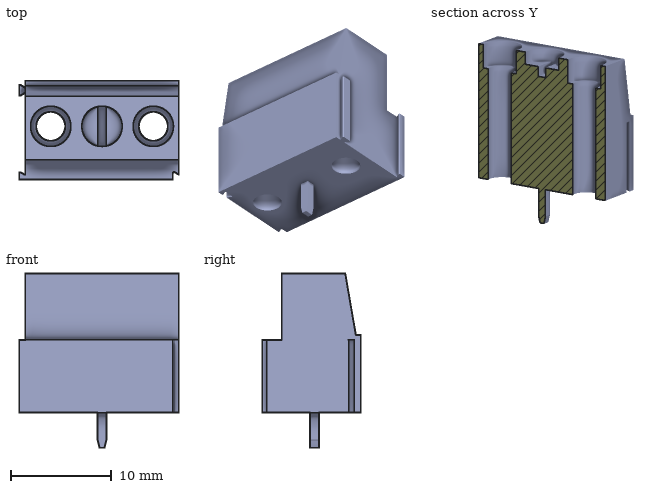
import math

import cadquery as cq

pitch = 5.08
positions = 3
body_length = pitch * positions
body_depth = 9.8
body_height = 13.8
front_step_depth = 1.95
front_step_height = 7.2
back_step_depth = 0.5
back_step_height = 7.7
top_back_inset = 1.55

rail_reach = 0.6
rail_height = front_step_height
rail_flank_angle = 30
rail_flare = rail_reach * math.tan(math.radians(rail_flank_angle))
rail_edge_radius = 0.1
hook_root_width = 0.48
hook_outer_width = hook_root_width + rail_flare
dovetail_center_y = 8.85
dovetail_root_width = 0.53
dovetail_outer_width = dovetail_root_width + 2 * rail_flare

opening_y = 5.28
recess_diameter = 4.0
mounting_recess_depth = 2.4
mounting_hole_diameter = 2.85
screw_recess_depth = 1.25
screw_slot_width = 0.83
screw_slot_depth = 1.0

pin_y = 5.2
pin_width = 0.9
pin_length = 3.5
pin_tip_width = 0.5
pin_taper_length = 0.8

middle_x = body_length / 2
mounting_xs = (pitch / 2, body_length - pitch / 2)


def housing():
    """Stepped side profile in the YZ plane, extruded along the row."""
    profile = [
        (0, 0),
        (body_depth, 0),
        (body_depth, back_step_height),
        (body_depth - back_step_depth, back_step_height),
        (body_depth - top_back_inset, body_height),
        (front_step_depth, body_height),
        (front_step_depth, front_step_height),
        (0, front_step_height),
    ]
    return cq.Workplane("YZ").polyline(profile).close().extrude(body_length)


def rail(profile, rounded_edges):
    """Upright rail with the chosen outer edges rounded."""
    blank = cq.Workplane("XY").polyline(profile).close().extrude(rail_height)
    return blank.edges(rounded_edges).fillet(rail_edge_radius)


def interlocks(face_x):
    """Front hook and dovetail that stand out from, or cut into, the side face at face_x."""
    outer_x = face_x - rail_reach
    hook = [
        (face_x, 0),
        (outer_x, 0),
        (outer_x, hook_outer_width),
        (face_x, hook_root_width),
    ]
    dovetail = [
        (face_x, dovetail_center_y - dovetail_root_width / 2),
        (outer_x, dovetail_center_y - dovetail_outer_width / 2),
        (outer_x, dovetail_center_y + dovetail_outer_width / 2),
        (face_x, dovetail_center_y + dovetail_root_width / 2),
    ]
    hook_solid = rail(hook, "|Z and <X and (not <Y)")
    dovetail_solid = rail(dovetail, "|Z and <X")
    return hook_solid.union(dovetail_solid)


def top_bore(x, diameter, depth):
    """Vertical cylinder reaching down from the top face."""
    top = cq.Workplane("XY", origin=(x, opening_y, body_height))
    return top.circle(diameter / 2).extrude(-depth)


def screw_opening():
    """Recess over the screw head, with the driver slot running along Y in its floor."""
    recess = top_bore(middle_x, recess_diameter, screw_recess_depth)
    deep_bore = top_bore(middle_x, recess_diameter, screw_recess_depth + screw_slot_depth)
    slot_plane = cq.Workplane("XY", origin=(middle_x, opening_y, 0))
    slot_block = slot_plane.rect(screw_slot_width, recess_diameter).extrude(body_height)
    return recess.union(deep_bore.intersect(slot_block))


def mounting_opening(x):
    """Through hole with a wider recess at the top."""
    recess = top_bore(x, recess_diameter, mounting_recess_depth)
    return recess.union(top_bore(x, mounting_hole_diameter, body_height))


def solder_pin():
    """Square pin with a tip tapered in X only."""
    taper_z = pin_taper_length - pin_length
    profile = [
        (middle_x - pin_width / 2, 0),
        (middle_x - pin_width / 2, taper_z),
        (middle_x - pin_tip_width / 2, -pin_length),
        (middle_x + pin_tip_width / 2, -pin_length),
        (middle_x + pin_width / 2, taper_z),
        (middle_x + pin_width / 2, 0),
    ]
    plane = cq.Workplane("XZ", origin=(0, pin_y, 0))
    return plane.polyline(profile).close().extrude(pin_width / 2, both=True)


result = housing().union(interlocks(0)).cut(interlocks(body_length))
result = result.cut(screw_opening())
for mounting_x in mounting_xs:
    result = result.cut(mounting_opening(mounting_x))
result = result.union(solder_pin())